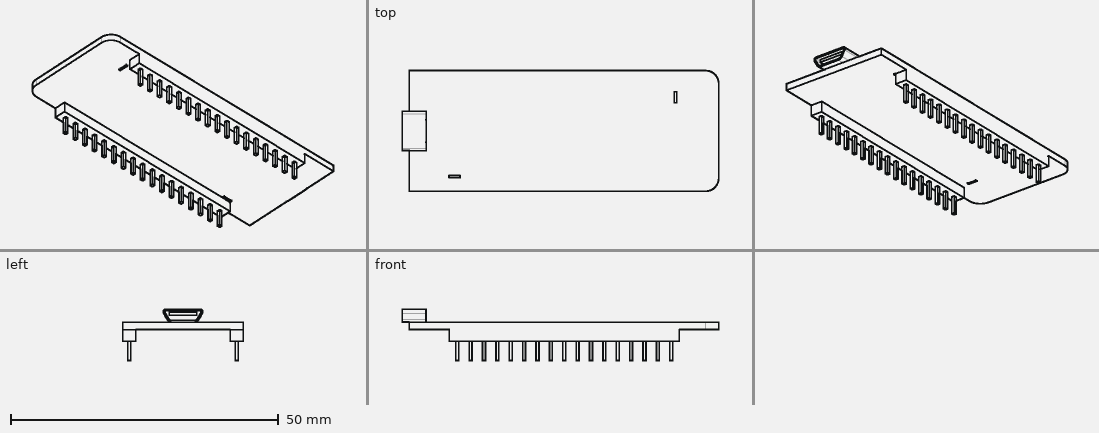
import cadquery as cq
import math

BOARD_LENGTH = 57.9
BOARD_WIDTH = 22.6
BOARD_THICKNESS = 1.4
BOARD_CORNER_RADIUS = 2.5

SLOT_LENGTH = 2.0
SLOT_WIDTH = 0.4
FRONT_SLOT_CENTER = (8.5, -8.5)
REAR_SLOT_CENTER = (49.8, 6.3)

PIN_COUNT = 17
PIN_PITCH = 2.5
PIN_LENGTH = 3.6
PIN_SIZE = 0.6
HEADER_START_X = 7.5
HEADER_END_MARGIN = 1.5
HEADER_LENGTH = (PIN_COUNT - 1) * PIN_PITCH + 2 * HEADER_END_MARGIN
HEADER_WIDTH = 2.5
HEADER_HEIGHT = 2.2
HEADER_CENTER_Y = (BOARD_WIDTH - HEADER_WIDTH) / 2

SOCKET_LENGTH = 4.5
SOCKET_OVERHANG = 1.3
SOCKET_HEIGHT = 2.4
SOCKET_TOP = BOARD_THICKNESS + SOCKET_HEIGHT
SOCKET_WIDTH = 7.4
SOCKET_SIDE_ANGLE = 60.0
SOCKET_TOP_RADIUS = 0.5
SOCKET_BOTTOM_RADIUS = 1.0
SOCKET_WALL = 0.3
SOCKET_BACK_WALL = 0.5

TONGUE_WIDTH = 5.2
TONGUE_THICKNESS = 0.55
TONGUE_TOP_GAP = 0.55
TONGUE_SETBACK = 0.5


def make_board():
    board = cq.Workplane("XY").box(
        BOARD_LENGTH, BOARD_WIDTH, BOARD_THICKNESS, centered=(False, True, False)
    )
    board = board.edges("|Z and >X").fillet(BOARD_CORNER_RADIUS)
    front_slot = cq.Workplane("XY").center(*FRONT_SLOT_CENTER).rect(SLOT_LENGTH, SLOT_WIDTH)
    rear_slot = cq.Workplane("XY").center(*REAR_SLOT_CENTER).rect(SLOT_WIDTH, SLOT_LENGTH)
    board = board.cut(front_slot.extrude(BOARD_THICKNESS))
    return board.cut(rear_slot.extrude(BOARD_THICKNESS))


def make_header(center_y):
    first_pin_x = HEADER_START_X + HEADER_END_MARGIN
    pin_centers = [(first_pin_x + i * PIN_PITCH, center_y) for i in range(PIN_COUNT)]
    strip = (
        cq.Workplane("XY")
        .box(HEADER_LENGTH, HEADER_WIDTH, HEADER_HEIGHT, centered=(False, True, False))
        .translate((HEADER_START_X, center_y, -HEADER_HEIGHT))
    )
    pins = (
        cq.Workplane("XY", origin=(0, 0, -HEADER_HEIGHT))
        .pushPoints(pin_centers)
        .rect(PIN_SIZE, PIN_SIZE)
        .extrude(-PIN_LENGTH)
    )
    return strip.union(pins)


def make_socket_prism(inset, length):
    """Rounded trapezoid prism along X, offset inward from the socket's outer faces by inset."""
    side_angle = math.radians(SOCKET_SIDE_ANGLE)
    corner_tangent = SOCKET_TOP_RADIUS / math.tan(side_angle / 2)
    half_sharp_top = SOCKET_WIDTH / 2 - SOCKET_TOP_RADIUS + corner_tangent
    side_shift = inset / math.sin(side_angle)
    top_drop = inset
    bottom_drop = SOCKET_HEIGHT - inset
    half_top = half_sharp_top - top_drop / math.tan(side_angle) - side_shift
    half_bottom = half_sharp_top - bottom_drop / math.tan(side_angle) - side_shift
    top = SOCKET_TOP - top_drop
    bottom = SOCKET_TOP - bottom_drop

    prism = (
        cq.Workplane("YZ", origin=(-SOCKET_OVERHANG, 0, 0))
        .polyline([(-half_bottom, bottom), (half_bottom, bottom), (half_top, top), (-half_top, top)])
        .close()
        .extrude(length)
    )
    prism = prism.edges("|X and >Z").fillet(SOCKET_TOP_RADIUS - inset)
    return prism.edges("|X and <Z").fillet(SOCKET_BOTTOM_RADIUS - inset)


def make_socket():
    shell = make_socket_prism(0, SOCKET_LENGTH)
    cavity = make_socket_prism(SOCKET_WALL, SOCKET_LENGTH - SOCKET_BACK_WALL)
    tongue_length = SOCKET_LENGTH - TONGUE_SETBACK
    tongue_bottom = SOCKET_TOP - TONGUE_TOP_GAP - TONGUE_THICKNESS
    tongue = (
        cq.Workplane("XY")
        .box(tongue_length, TONGUE_WIDTH, TONGUE_THICKNESS, centered=(False, True, False))
        .translate((TONGUE_SETBACK - SOCKET_OVERHANG, 0, tongue_bottom))
    )
    return shell.cut(cavity).union(tongue)


result = make_board()
for side in (-1, 1):
    result = result.union(make_header(side * HEADER_CENTER_Y))
result = result.union(make_socket())